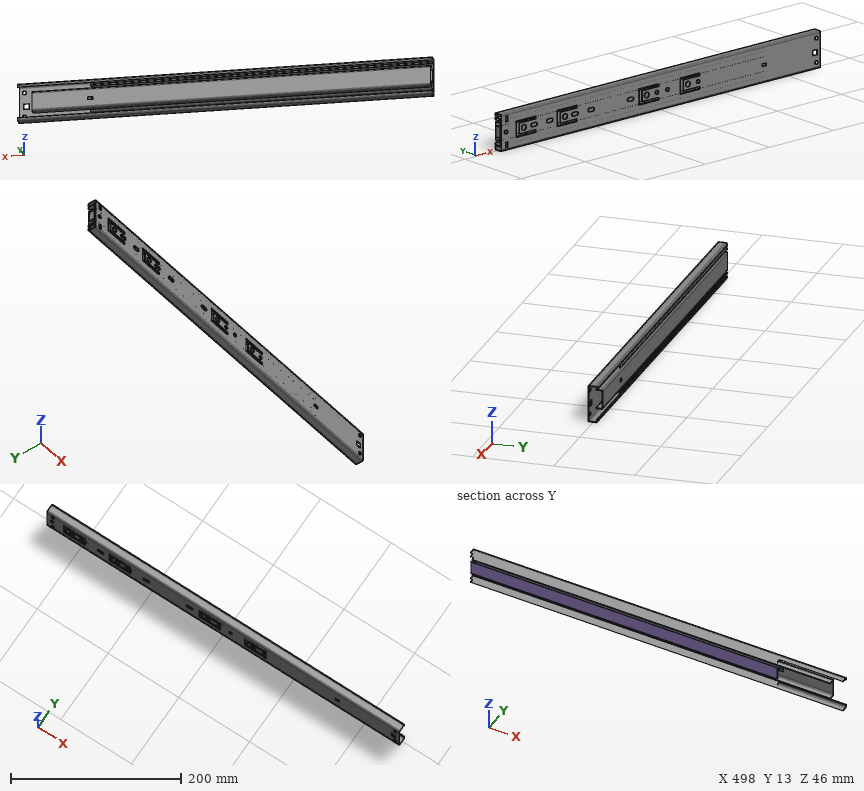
import cadquery as cq

LENGTH = 498.0
DEPTH = 13.0
HEIGHT = 46.0
SHEET = 1.2
BEND_RADIUS = 1.95
INSIDE_BEND_RADIUS = BEND_RADIUS - SHEET

LEFT_END = -LENGTH / 2
OUTER_BACK = -DEPTH / 2
FRONT = DEPTH / 2
LIP_FRONT = 5.5

OUTER_MOUTH = 38.0

MIDDLE_LENGTH = 410.5
MIDDLE_HEIGHT = 35.0
MIDDLE_BACK = -5.0
MIDDLE_MOUTH = 29.0
RAISED_HEIGHT = 18.15
RAISED_STEP = 1.75
STOP_HEIGHT = 13.5
STOP_THICKNESS = 2.5
STOP_FRONT = 3.5

INNER_LENGTH = 479.0
INNER_INSET = 1.5
INNER_HEIGHT = 24.5
INNER_BACK = -2.0

TONGUE_SLOT_STARTS = (-225.5, -161.5, -34.0, 30.5)
TONGUE_SLOT_LENGTH = 30.5
TONGUE_SLOT_HEIGHT = 20.0
TONGUE_HEIGHT = 13.5
TONGUE_END_GAP = 4.5
TONGUE_HOLE_OFFSET = 12.0
TONGUE_HOLE_DIAMETER = 7.0

SMALL_HOLE_DIAMETER = 4.75
SMALL_HOLE_XS = (-241.5, -6.0, 10.5, 58.5)
OBLONG_LENGTH = 9.5
OBLONG_XS = (-197.5, -173.5, -134.0, -108.5, -47.5)

END_SLOT_X = -240.5
END_SLOT_Z = 16.0
END_SLOT_WIDTH = 3.25
END_SLOT_HEIGHT = 6.5
END_HOLE_X = 243.0
END_HOLE_Z = 15.0
END_HOLE_DIAMETER = 4.5
SQUARE_HOLE_X = 240.5
SQUARE_HOLE_Z = -2.25
SQUARE_HOLE_SIDE = 6.5

ACCESS_X = 161.5
ACCESS_Z = -0.8
ACCESS_LENGTH = 6.0
ACCESS_HEIGHT = 3.25


def bar(length, back, front, height):
    """Rectangular bar from the left end, centred on Z = 0."""
    return (
        cq.Workplane("YZ", origin=(LEFT_END, 0, 0))
        .center((back + front) / 2, 0)
        .rect(front - back, height)
        .extrude(length)
    )


def rounded_bar(length, back, front, height, radius):
    return bar(length, back, front, height).edges("|X").fillet(radius)


def lipped_channel(length, back, front, height, mouth):
    """C-shaped sheet rail whose lips leave a mouth open on the +Y side."""
    body = rounded_bar(length, back, front, height, BEND_RADIUS)
    cavity = rounded_bar(length, back + SHEET, front - SHEET, height - 2 * SHEET, INSIDE_BEND_RADIUS)
    opening = bar(length, front - 2 * SHEET, front, mouth)
    return body.cut(cavity).cut(opening)


def web_cutter(back, points):
    """Workplane on a web's back face, ready for cutters that grow toward +Y."""
    return cq.Workplane("XZ", origin=(0, back, 0)).pushPoints(points)


def access_slot(back):
    return web_cutter(back, [(ACCESS_X, ACCESS_Z)]).rect(ACCESS_LENGTH, ACCESS_HEIGHT).extrude(-SHEET)


def tongue_slots():
    """C-shaped slots that leave each tongue attached at its +X end."""
    slot_centres = [(start + TONGUE_SLOT_LENGTH / 2, 0) for start in TONGUE_SLOT_STARTS]
    tongue_length = TONGUE_SLOT_LENGTH - TONGUE_END_GAP
    tongue_centres = [(x + TONGUE_END_GAP / 2, 0) for x, _ in slot_centres]
    slots = web_cutter(OUTER_BACK, slot_centres).rect(TONGUE_SLOT_LENGTH, TONGUE_SLOT_HEIGHT).extrude(-SHEET)
    tongues = web_cutter(OUTER_BACK, tongue_centres).rect(tongue_length, TONGUE_HEIGHT).extrude(-SHEET)
    return slots.cut(tongues)


def centre_line_holes():
    tongue_holes = [(start + TONGUE_HOLE_OFFSET, 0) for start in TONGUE_SLOT_STARTS]
    small_holes = [(x, 0) for x in SMALL_HOLE_XS]
    oblongs = [(x, 0) for x in OBLONG_XS]
    return (
        web_cutter(OUTER_BACK, tongue_holes).circle(TONGUE_HOLE_DIAMETER / 2).extrude(-SHEET)
        .union(web_cutter(OUTER_BACK, small_holes).circle(SMALL_HOLE_DIAMETER / 2).extrude(-SHEET))
        .union(web_cutter(OUTER_BACK, oblongs).slot2D(OBLONG_LENGTH, SMALL_HOLE_DIAMETER).extrude(-SHEET))
    )


def end_holes():
    slots = [(END_SLOT_X, side * END_SLOT_Z) for side in (-1, 1)]
    holes = [(END_HOLE_X, side * END_HOLE_Z) for side in (-1, 1)]
    square = [(SQUARE_HOLE_X, SQUARE_HOLE_Z)]
    return (
        web_cutter(OUTER_BACK, slots).rect(END_SLOT_WIDTH, END_SLOT_HEIGHT).extrude(-SHEET)
        .union(web_cutter(OUTER_BACK, holes).circle(END_HOLE_DIAMETER / 2).extrude(-SHEET))
        .union(web_cutter(OUTER_BACK, square).rect(SQUARE_HOLE_SIDE, SQUARE_HOLE_SIDE).extrude(-SHEET))
    )


def make_outer_rail():
    rail = lipped_channel(LENGTH, OUTER_BACK, LIP_FRONT, HEIGHT, OUTER_MOUTH)
    for cutter in (tongue_slots(), centre_line_holes(), end_holes(), access_slot(OUTER_BACK)):
        rail = rail.cut(cutter)
    return rail


def raised_strip(back, foot_height):
    """Trapezoidal bar with 45 degree sides, narrowing toward +Y by one web step."""
    foot = foot_height / 2
    top = foot - RAISED_STEP
    return (
        cq.Workplane("YZ", origin=(LEFT_END, 0, 0))
        .moveTo(back, -foot)
        .lineTo(back + RAISED_STEP, -top)
        .lineTo(back + RAISED_STEP, top)
        .lineTo(back, foot)
        .close()
        .extrude(MIDDLE_LENGTH)
    )


def make_middle_rail():
    """Channel with a web raised along its middle and a stop bent up at the left end."""
    channel = lipped_channel(MIDDLE_LENGTH, MIDDLE_BACK, LIP_FRONT, MIDDLE_HEIGHT, MIDDLE_MOUTH)
    raised_face = raised_strip(MIDDLE_BACK + SHEET, RAISED_HEIGHT + SHEET)
    hollow = raised_strip(MIDDLE_BACK, RAISED_HEIGHT)
    stop = bar(STOP_THICKNESS, MIDDLE_BACK + RAISED_STEP, STOP_FRONT, STOP_HEIGHT)
    return channel.union(raised_face).cut(hollow).union(stop)


def make_inner_rail():
    """U-shaped rail with its web at the front and its flanges pointing into the middle rail."""
    body = bar(INNER_LENGTH, INNER_BACK, FRONT, INNER_HEIGHT).edges("|X and >Y").fillet(BEND_RADIUS)
    cavity = bar(INNER_LENGTH, INNER_BACK, FRONT - SHEET, INNER_HEIGHT - 2 * SHEET)
    cavity = cavity.edges("|X and >Y").fillet(INSIDE_BEND_RADIUS)
    rail = body.cut(cavity).translate((INNER_INSET, 0, 0))
    return rail.cut(access_slot(FRONT - SHEET))


outer_rail = make_outer_rail()
middle_rail = make_middle_rail()
inner_rail = make_inner_rail()
result = cq.Compound.makeCompound([outer_rail.val(), middle_rail.val(), inner_rail.val()])